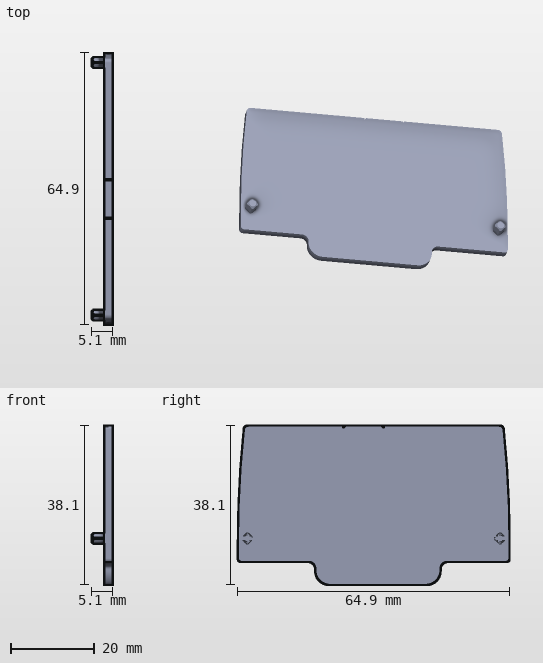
import cadquery as cq
import math

plate_thickness = 2.1
plate_width = 64.93
plate_height = 38.1
top_width = 61.9
shoulder_z = 5.5
flank_bend_z = 10.0
top_corner_radius = 1.0
bottom_corner_radius = 0.8

tab_width = 30.0
tab_center_y = 1.0
tab_root_radius = 1.6
tab_corner_radius = 3.5

peg_length = 3.0
peg_spacing = 60.3
peg_z = 11.15
peg_side = 2.1
peg_diameter = 2.65
peg_tip_chamfer = 0.5
peg_turn = 45

notch_center_y = -2.45
notch_spacing = 9.6
notch_width = 0.4
notch_depth = 0.4


def flank_radius():
    """Radius of the flank arc that leaves the vertical part tangentially."""
    rise = plate_height - flank_bend_z
    inset = (plate_width - top_width) / 2
    return (rise**2 + inset**2) / (2 * inset)


def flank_midpoint():
    """Point halfway along the flank arc on the +Y side."""
    radius = flank_radius()
    half_angle = math.asin((plate_height - flank_bend_z) / radius) / 2
    y = plate_width / 2 - radius * (1 - math.cos(half_angle))
    z = flank_bend_z + radius * math.sin(half_angle)
    return y, z


def fillet_corners(plate, y_positions, z, radius):
    """Round the outline corners that lie at height z and the given Y positions."""
    reach = 0.01
    for y in y_positions:
        box = cq.selectors.BoxSelector(
            (-reach, y - reach, z - reach),
            (plate_thickness + reach, y + reach, z + reach),
        )
        plate = plate.edges(box).fillet(radius)
    return plate


def make_plate():
    half_width = plate_width / 2
    half_top = top_width / 2
    tab_min_y = tab_center_y - tab_width / 2
    tab_max_y = tab_center_y + tab_width / 2
    mid_y, mid_z = flank_midpoint()
    plate = (
        cq.Workplane("YZ")
        .moveTo(tab_min_y, 0)
        .lineTo(tab_max_y, 0)
        .lineTo(tab_max_y, shoulder_z)
        .lineTo(half_width, shoulder_z)
        .lineTo(half_width, flank_bend_z)
        .threePointArc((mid_y, mid_z), (half_top, plate_height))
        .lineTo(-half_top, plate_height)
        .threePointArc((-mid_y, mid_z), (-half_width, flank_bend_z))
        .lineTo(-half_width, shoulder_z)
        .lineTo(tab_min_y, shoulder_z)
        .close()
        .extrude(plate_thickness)
    )
    plate = fillet_corners(plate, (-half_top, half_top), plate_height, top_corner_radius)
    plate = fillet_corners(plate, (-half_width, half_width), shoulder_z, bottom_corner_radius)
    plate = fillet_corners(plate, (tab_min_y, tab_max_y), shoulder_z, tab_root_radius)
    return fillet_corners(plate, (tab_min_y, tab_max_y), 0, tab_corner_radius)


def make_notch(side):
    """Notch cutter on the +Y (side = 1) or -Y (side = -1) side of the notch pair."""
    outer_y = notch_center_y + side * notch_spacing / 2
    return (
        cq.Workplane("YZ")
        .moveTo(outer_y, plate_height)
        .lineTo(outer_y, plate_height - notch_depth)
        .lineTo(outer_y - side * notch_width, plate_height)
        .close()
        .extrude(plate_thickness)
    )


def make_peg(y):
    """Peg reaching from the plate's -X face to its chamfered tip."""
    envelope = (
        cq.Workplane("YZ")
        .circle(peg_diameter / 2)
        .extrude(-peg_length)
        .faces("<X")
        .chamfer(peg_tip_chamfer)
    )
    bar = (
        cq.Workplane("YZ")
        .rect(peg_side, peg_side)
        .extrude(-peg_length)
        .rotate((0, 0, 0), (1, 0, 0), peg_turn)
    )
    return bar.intersect(envelope).translate((0, y, peg_z))


result = make_plate()
for side in (1, -1):
    result = result.cut(make_notch(side))
    result = result.union(make_peg(side * peg_spacing / 2))